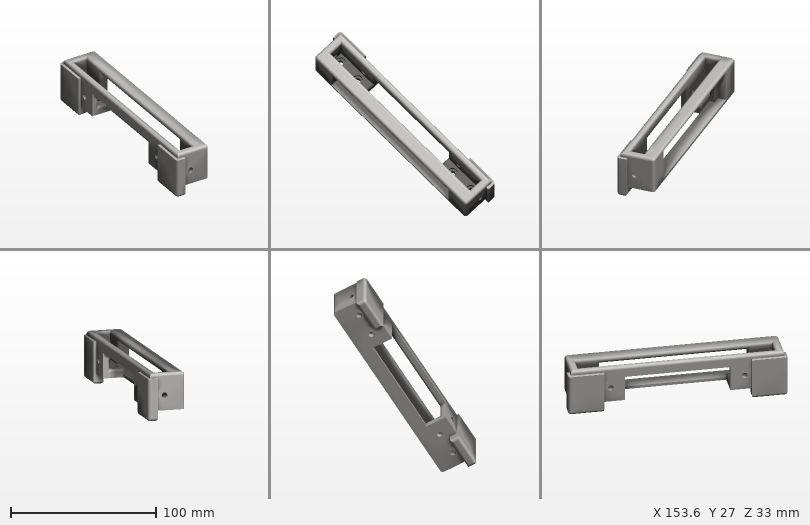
import cadquery as cq

length = 153.6
depth = 27.0
height = 33.0
foot_overhang = 2.0
body_bottom = 6.9
round_radius = 2.0

end_wall = 6.0
front_wall = 5.0
floor_thickness = 6.0
cavity_width = 10.0

front_opening_length = 73.7
front_opening_top = 25.0

rear_sill = 8.9
rear_opening_top = 28.9

recess_depth = 6.0
recess_side_margin = 6.0
recess_top_margin = 2.0

foot_length = 25.0
foot_height = 30.0
foot_top_chamfer = 0.2

hole_diameter = 4.0
counterbore_diameter = 7.0
counterbore_depth = 2.0
wall_hole_height = 17.5
outer_hole_x = 12.3
inner_hole_x = 30.0
end_hole_y = 12.5
inner_floor_hole_y = 12.5

center_x = length / 2
body_length = length - 2 * foot_overhang
cavity_length = body_length - 2 * end_wall
cavity_front = foot_overhang + front_wall
cavity_rear = cavity_front + cavity_width
cavity_middle = (cavity_front + cavity_rear) / 2
floor_top = body_bottom + floor_thickness
rear_opening_length = length - 2 * foot_length
front_opening_left = center_x - front_opening_length / 2


def centered_box(size_x, y_min, y_max, z_min, z_max):
    """Box centred on the part's length, between the given Y and Z limits."""
    box = cq.Workplane("XY").box(size_x, y_max - y_min, z_max - z_min, centered=(True, False, False))
    return box.translate((center_x, y_min, z_min))


def edges_within(size_x, y_range, z_range):
    """Selector for edges whose centre lies in a box centred on the part's length."""
    slack = 0.2
    return cq.selectors.BoxSelector(
        (center_x - size_x / 2 - slack, y_range[0] - slack, z_range[0] - slack),
        (center_x + size_x / 2 + slack, y_range[1] + slack, z_range[1] + slack),
    )


def cylinder(diameter, start, direction, distance):
    """Cylinder from a start point along a direction."""
    solid = cq.Solid.makeCylinder(diameter / 2, distance, cq.Vector(*start), cq.Vector(*direction))
    return cq.Workplane(solid)


def mirrored(shape):
    """Copy of a shape on the opposite half of the part's length."""
    return shape.mirror("YZ", (center_x, 0, 0))


def make_body():
    """Block with rounded rear corners and top edges."""
    block = centered_box(body_length, foot_overhang, depth, body_bottom, height)
    block = block.edges("|Z and >Y").fillet(round_radius)
    return block.faces(">Z").edges().fillet(round_radius)


def hollow_out(body):
    """Cut the cavity and both openings, then round the edges facing the cavity."""
    cavity = centered_box(cavity_length, cavity_front, cavity_rear, floor_top, height)
    front_opening = centered_box(
        front_opening_length, foot_overhang, cavity_rear, body_bottom, front_opening_top
    )
    rear_opening = centered_box(rear_opening_length, cavity_rear, depth, rear_sill, rear_opening_top)
    body = body.cut(cavity).cut(front_opening).cut(rear_opening)

    rim_edges = edges_within(cavity_length, (cavity_front, cavity_rear), (height, height))
    body = body.edges(rim_edges).fillet(round_radius)

    front_edges = edges_within(
        front_opening_length, (cavity_front, cavity_middle), (floor_top, front_opening_top)
    )
    rear_edges = edges_within(
        rear_opening_length, (cavity_rear, cavity_rear), (floor_top + round_radius, rear_opening_top)
    )
    return body.edges(front_edges + rear_edges).fillet(round_radius)


def make_recess():
    """Shallow recess in the rear face, level with the sill and wider than the opening."""
    return centered_box(
        rear_opening_length + 2 * recess_side_margin,
        depth - recess_depth,
        depth,
        rear_sill,
        rear_opening_top + recess_top_margin,
    )


def make_foot():
    """Left corner foot: rounded base and outer front corner, top outer edges just broken."""
    foot = cq.Workplane("XY").box(foot_length, cavity_front, foot_height, centered=False)
    foot = foot.edges("|Z and <X and <Y").fillet(round_radius)
    foot = foot.faces("<Z").edges().fillet(round_radius)
    return foot.faces(">Z").edges("<X or <Y").chamfer(foot_top_chamfer)


def floor_hole(x, y):
    """Counterbored hole down through the cavity floor."""
    hole = cylinder(hole_diameter, (x, y, floor_top), (0, 0, -1), floor_top)
    return hole.union(cylinder(counterbore_diameter, (x, y, floor_top), (0, 0, -1), counterbore_depth))


result = hollow_out(make_body()).cut(make_recess())

foot = make_foot()
result = result.union(foot).union(mirrored(foot))

left_holes = [
    floor_hole(outer_hole_x, cavity_middle),
    floor_hole(inner_hole_x, inner_floor_hole_y),
    cylinder(hole_diameter, (inner_hole_x, 0, wall_hole_height), (0, 1, 0), depth),
    cylinder(hole_diameter, (0, end_hole_y, wall_hole_height), (1, 0, 0), front_opening_left),
]
for hole in left_holes:
    result = result.cut(hole).cut(mirrored(hole))